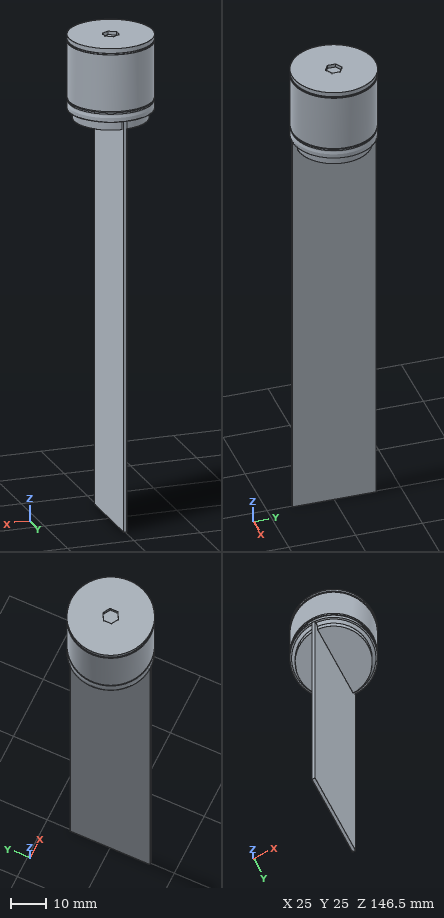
import cadquery as cq
import math

overall_height = 146.5
head_diameter = 25.0
head_radius = head_diameter / 2

rim_groove_start = 1.5
rim_groove_end = 1.9
barrel_edge = 19.0
neck_start = 19.5
head_end = 19.9
neck_end = 20.4
collar_edge = 21.1
collar_end = 22.3
shoulder_end = 22.9
spigot_end = 25.2

rim_groove_radius = head_radius - 0.1
neck_radius = head_radius - 0.22
shoulder_radius = 12.0
spigot_radius = 11.0

socket_width = 4.2
socket_depth = 1.0

plate_thickness = 1.0
plate_height = overall_height - collar_end


def make_turned(profile):
    """Revolve a closed outline of (radius, depth) points about the Z axis."""
    points = [(radius, overall_height - depth) for radius, depth in profile]
    return cq.Workplane("XZ").polyline(points).close().revolve(360, (0, 0, 0), (0, 1, 0))


def make_socket():
    """Hexagonal prism that forms the blind socket."""
    corner_diameter = socket_width / math.cos(math.radians(30))
    socket = cq.Workplane("XY").polygon(6, corner_diameter).extrude(socket_depth)
    socket = socket.rotate((0, 0, 0), (0, 0, 1), 30)
    return socket.translate((0, 0, overall_height - socket_depth))


def make_plate():
    """Flat upright strip that reaches up to the underside of the collar."""
    return cq.Workplane("XY").box(
        plate_thickness, head_diameter, plate_height, centered=(True, True, False)
    )


def make_head():
    """Barrel with a fine groove below its rim, a beveled lower edge and a hexagonal socket."""
    barrel = make_turned([
        (0, 0),
        (head_radius, 0),
        (head_radius, rim_groove_start),
        (rim_groove_radius, rim_groove_start),
        (rim_groove_radius, rim_groove_end),
        (head_radius, rim_groove_end),
        (head_radius, barrel_edge),
        (neck_radius, neck_start),
        (neck_radius, head_end),
        (0, head_end),
    ])
    return barrel.cut(make_socket())


def make_base():
    """Neck, beveled collar and spigot, with a slot across the spigot for the plate."""
    blank = make_turned([
        (0, head_end),
        (neck_radius, head_end),
        (neck_radius, neck_end),
        (head_radius, collar_edge),
        (head_radius, collar_end),
        (shoulder_radius, collar_end),
        (spigot_radius, shoulder_end),
        (spigot_radius, spigot_end),
        (0, spigot_end),
    ])
    return blank.cut(make_plate())


head = make_head()
base = make_base()
plate = make_plate()
result = cq.Compound.makeCompound([head.val(), base.val(), plate.val()])